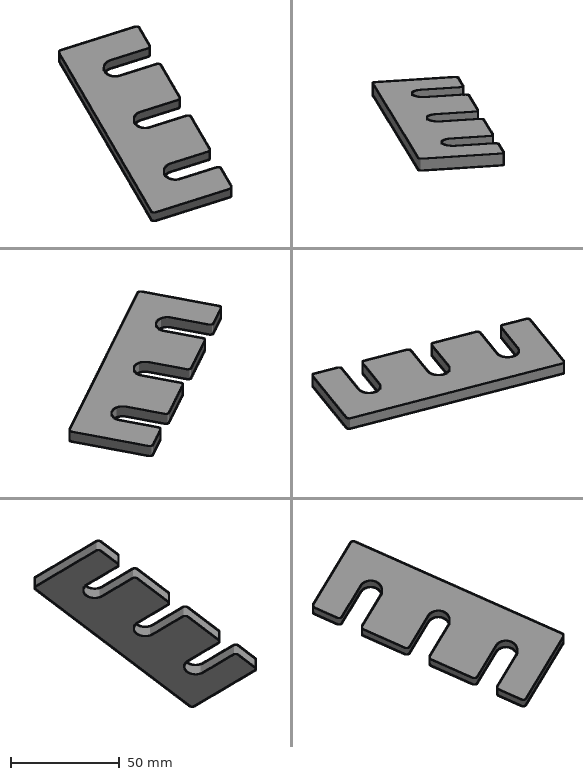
import cadquery as cq

length = 110.0
width = 40.0
thickness = 5.8
corner_radius = 1.5

slot_count = 3
slot_pitch = 35.0
slot_width = 10.5
slot_depth = 25.3


def slot_cutter(x_center):
    """Slot with a full-radius inner end, reaching the +Y edge of the plate."""
    end_radius = slot_width / 2
    edge_y = width / 2
    arc_center_y = edge_y - slot_depth + end_radius
    return (
        cq.Workplane("XY")
        .moveTo(x_center - end_radius, edge_y)
        .lineTo(x_center - end_radius, arc_center_y)
        .threePointArc((x_center, edge_y - slot_depth), (x_center + end_radius, arc_center_y))
        .lineTo(x_center + end_radius, edge_y)
        .close()
        .extrude(thickness)
    )


plate = cq.Workplane("XY").box(length, width, thickness, centered=(True, True, False))
for index in range(slot_count):
    plate = plate.cut(slot_cutter((index - (slot_count - 1) / 2) * slot_pitch))

result = plate.faces("<Y or >Y").edges("|Z").fillet(corner_radius)